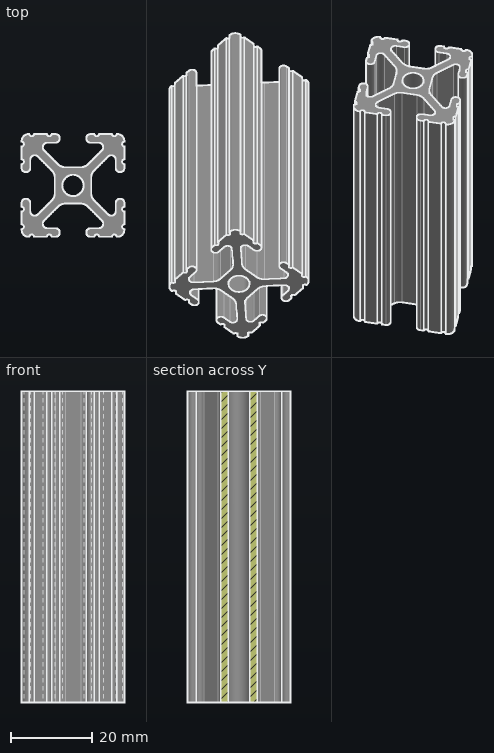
import cadquery as cq
import math

width = 25.4
length = 76.8
corner_radius = 1.8
bore_diameter = 5.2

mouth_width = 6.5
lip_thickness = 2.2
web_thickness = 2.2
core_width = 9.0
pocket_radius = 1.07
core_radius = 2.6

groove_radius = 0.57
groove_offsets = (5.85, 10.18)

half_width = width / 2
web_angle = math.radians(45)
quarter_turns = (0, 90, 180, 270)


def bottom_plane():
    return cq.Workplane("XY", origin=(0, 0, -length / 2))


def on_circle(center, radius, angle):
    """Point on a circle at an angle in radians, measured from +X."""
    return (center[0] + radius * math.cos(angle), center[1] + radius * math.sin(angle))


def mirrored(point):
    return (-point[0], point[1])


def make_body():
    block = bottom_plane().rect(width, width).extrude(length)
    return block.edges("|Z").fillet(corner_radius)


def make_slot():
    """Cavity of the slot in the +Y side: rounded lip tips, pocket, webs and core face."""
    tip_radius = lip_thickness / 2
    lip_inner_y = half_width - lip_thickness
    core_y = core_width / 2
    web_offset = web_thickness / 2 / math.cos(web_angle)
    web_face_angle = -web_angle
    floor_angle = -math.pi / 2

    tip_x = mouth_width / 2 + tip_radius
    tip_outer = (tip_x, half_width)
    tip_middle = (mouth_width / 2, half_width - tip_radius)
    tip_inner = (tip_x, lip_inner_y)

    pocket_corner_x = lip_inner_y - web_offset
    pocket_x = pocket_corner_x - pocket_radius / math.tan(web_angle / 2)
    pocket_center = (pocket_x, lip_inner_y - pocket_radius)
    pocket_top = (pocket_x, lip_inner_y)
    pocket_side = on_circle(pocket_center, pocket_radius, 0)
    pocket_end = on_circle(pocket_center, pocket_radius, web_face_angle)

    core_corner_x = core_y - web_offset
    core_x = core_corner_x - core_radius * math.tan(web_angle / 2)
    core_center = (core_x, core_y + core_radius)
    core_start = on_circle(core_center, core_radius, web_face_angle)
    core_middle_angle = (web_face_angle + floor_angle) / 2
    core_middle = on_circle(core_center, core_radius, core_middle_angle)
    core_end = (core_x, core_y)

    outline = (
        bottom_plane()
        .moveTo(*tip_outer)
        .threePointArc(tip_middle, tip_inner)
        .lineTo(*pocket_top)
        .threePointArc(pocket_side, pocket_end)
        .lineTo(*core_start)
        .threePointArc(core_middle, core_end)
        .lineTo(*mirrored(core_end))
        .threePointArc(mirrored(core_middle), mirrored(core_start))
        .lineTo(*mirrored(pocket_end))
        .threePointArc(mirrored(pocket_side), mirrored(pocket_top))
        .lineTo(*mirrored(tip_inner))
        .threePointArc(mirrored(tip_middle), mirrored(tip_outer))
        .close()
    )
    return outline.extrude(length)


def make_grooves():
    """Round bars that cut the drag grooves: four along each side."""
    positions = [side * offset for offset in groove_offsets for side in (-1, 1)]
    centers = []
    for face in (-half_width, half_width):
        for position in positions:
            centers.append((position, face))
            centers.append((face, position))
    return bottom_plane().pushPoints(centers).circle(groove_radius).extrude(length)


def make_bore():
    return bottom_plane().circle(bore_diameter / 2).extrude(length)


result = make_body().cut(make_bore()).cut(make_grooves())
for turn in quarter_turns:
    result = result.cut(make_slot().rotate((0, 0, 0), (0, 0, 1), turn))